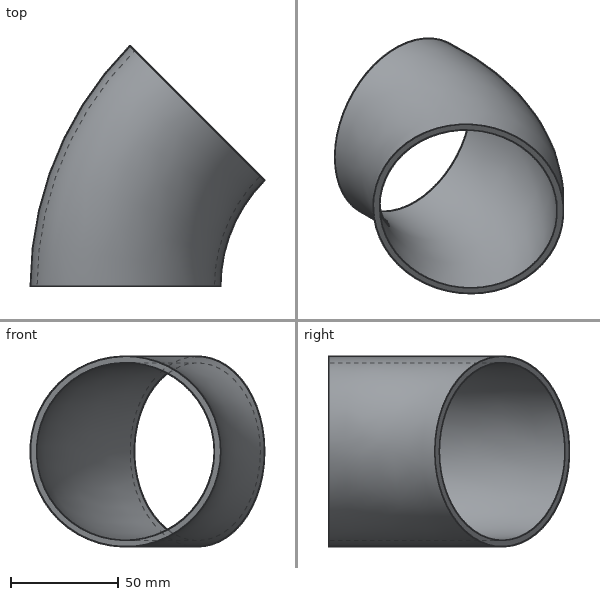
import cadquery as cq
import math

bend_angle = 45.0
outer_diameter = 88.9
wall = 3.0
overall_length = 112.4

outer_radius = outer_diameter / 2
inner_radius = outer_radius - wall

bend_radius = overall_length / math.sin(math.radians(bend_angle)) - outer_radius

pipe_section = cq.Workplane("XZ").circle(outer_radius).circle(inner_radius)
result = pipe_section.revolve(bend_angle, (bend_radius, 1.1, 0), (bend_radius, 0, 0))